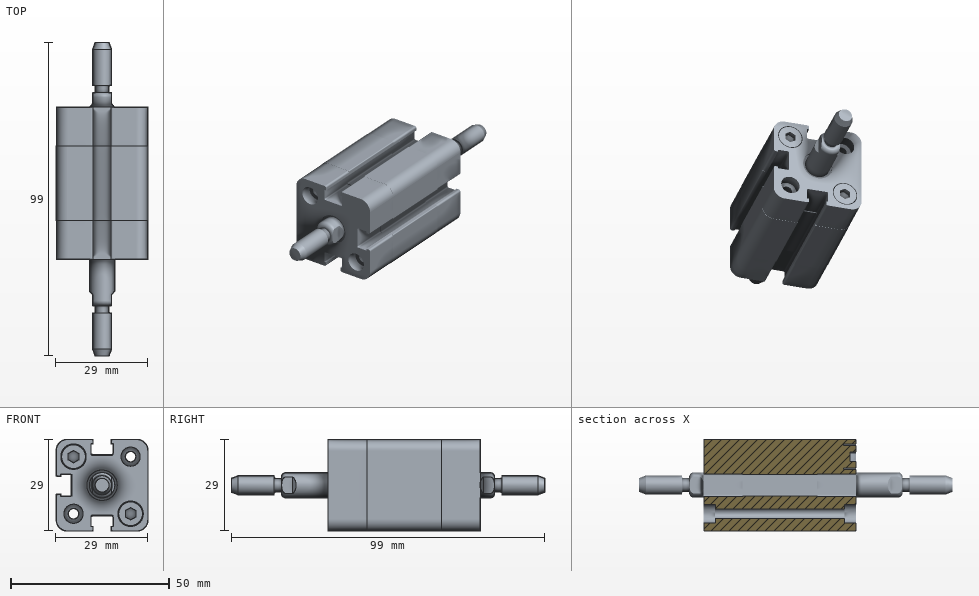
import cadquery as cq
import math

cap_side = 28.9
tube_side = 29.0
corner_radius = 3.6
overall_length = 99.0
rod_reach_front = 30.5
rod_reach_back = 20.4
cap_length = 12.3
front_y = -overall_length / 2 + rod_reach_front
back_y = overall_length / 2 - rod_reach_back

mouth_width = 5.6
slot_width = 6.9
lip_thickness = 1.5
cap_slot_depth = 5.0
tube_slot_depth = 4.8
cap_lip_radius = 0.6
tube_lip_radius = 0.3
slot_floor_radius = 0.4
slot_angles = (0, 90, 180)

corner_offset = 9.0
through_diameter = 3.3
counterbore_diameter = 6.0
counterbore_depth = 3.7
screw_pocket_diameter = 8.0
screw_head_diameter = 7.5
screw_gap_depth = 4.0
hex_across_flats = 3.4
hex_depth = 2.0

rod_diameter = 8.0
rod_recess_diameter = 9.6
rod_recess_depth = 0.5
rod_rounding_length = 1.5
rod_end_diameter = 5.4
flats_width = 6.0
flats_length = 3.6
flats_runout = 1.1
stud_diameter = 6.0
stud_tip_diameter = 4.4
stud_tip_length = 2.2
neck_diameter = 4.4
neck_radius = 0.4
neck_start = 13.6
rod_end = 15.8


def cylinder_y(diameter, start_y, end_y, x=0, z=0):
    """Cylinder parallel to Y between two Y positions."""
    plane = cq.Plane(origin=(x, start_y, z), xDir=(1, 0, 0), normal=(0, 1, 0))
    return cq.Workplane(plane).circle(diameter / 2).extrude(end_y - start_y)


def slot_cutter(start_y, end_y, section_side, depth, lip_radius):
    """T-slot for the top face, with rounded lips and floor corners."""
    top = section_side / 2
    lip_z = tube_side / 2 - lip_thickness
    floor_z = tube_side / 2 - depth
    mouth = mouth_width / 2
    half = slot_width / 2
    floor_half = half - slot_floor_radius
    lip_half = mouth + lip_radius
    diagonal = 1 - math.sqrt(0.5)
    lip_mid = (mouth + lip_radius * diagonal, top - lip_radius * diagonal)
    floor_mid = (half - slot_floor_radius * diagonal, floor_z + slot_floor_radius * diagonal)
    plane = cq.Plane(origin=(0, end_y, 0), xDir=(1, 0, 0), normal=(0, -1, 0))
    return (
        cq.Workplane(plane)
        .moveTo(-lip_half, top)
        .lineTo(lip_half, top)
        .threePointArc(lip_mid, (mouth, top - lip_radius))
        .lineTo(mouth, lip_z)
        .lineTo(half, lip_z)
        .lineTo(half, floor_z + slot_floor_radius)
        .threePointArc(floor_mid, (floor_half, floor_z))
        .lineTo(-floor_half, floor_z)
        .threePointArc((-floor_mid[0], floor_mid[1]), (-half, floor_z + slot_floor_radius))
        .lineTo(-half, lip_z)
        .lineTo(-mouth, lip_z)
        .lineTo(-mouth, top - lip_radius)
        .threePointArc((-lip_mid[0], lip_mid[1]), (-lip_half, top))
        .close()
        .extrude(end_y - start_y)
    )


def body_section(start_y, end_y, section_side, slot_depth, lip_radius):
    """One length of the body with its three T-slots."""
    section = (
        cq.Workplane("XY")
        .box(section_side, end_y - start_y, section_side)
        .edges("|Y")
        .fillet(corner_radius)
        .translate((0, (start_y + end_y) / 2, 0))
    )
    cutter = slot_cutter(start_y, end_y, section_side, slot_depth, lip_radius)
    for angle in slot_angles:
        section = section.cut(cutter.rotate((0, 0, 0), (0, 1, 0), -angle))
    return section


def through_hole(x, z):
    """Through hole counterbored from both cap faces."""
    return (
        cylinder_y(through_diameter, front_y, back_y, x, z)
        .union(cylinder_y(counterbore_diameter, front_y, front_y + counterbore_depth, x, z))
        .union(cylinder_y(counterbore_diameter, back_y - counterbore_depth, back_y, x, z))
    )


def screw_cutter(x, z):
    """Gap around a flush screw head plus its hexagon socket, corners up and down."""
    gap_end = front_y + screw_gap_depth
    gap = cylinder_y(screw_pocket_diameter, front_y, gap_end, x, z).cut(
        cylinder_y(screw_head_diameter, front_y, gap_end, x, z)
    )
    hex_corner_diameter = 2 * hex_across_flats / math.sqrt(3)
    plane = cq.Plane(origin=(x, front_y, z), xDir=(0, 0, 1), normal=(0, 1, 0))
    socket = cq.Workplane(plane).polygon(6, hex_corner_diameter).extrude(hex_depth)
    return gap.union(socket)


def rod_half():
    """Rod from the middle of the part to its +Y tip, turned about Y."""
    tip = overall_length / 2
    rod_r = rod_diameter / 2
    stud_r = stud_diameter / 2
    neck_r = neck_diameter / 2
    neck_y = tip - neck_start
    shoulder_y = tip - rod_end
    return (
        cq.Workplane("XY")
        .moveTo(0, 0)
        .lineTo(rod_r, 0)
        .lineTo(rod_r, shoulder_y - rod_rounding_length)
        .tangentArcPoint((rod_end_diameter / 2, shoulder_y), relative=False)
        .lineTo(neck_r, shoulder_y)
        .lineTo(neck_r, neck_y - neck_radius)
        .tangentArcPoint((neck_r + neck_radius, neck_y), relative=False)
        .lineTo(stud_r, neck_y)
        .lineTo(stud_r, tip - stud_tip_length)
        .lineTo(stud_tip_diameter / 2, tip)
        .lineTo(0, tip)
        .close()
        .revolve(360, (0, 0, 0), (0, 1, 0))
    )


def wrench_flat():
    """Cutter for the flat on the +X side of the +Y rod end, with a sloping run-out."""
    shoulder_y = overall_length / 2 - rod_end
    flat_end_y = shoulder_y - flats_length
    return (
        cq.Workplane("XY")
        .moveTo(flats_width / 2, shoulder_y)
        .lineTo(flats_width / 2, flat_end_y)
        .lineTo(rod_diameter / 2, flat_end_y - flats_runout)
        .lineTo(rod_diameter / 2, shoulder_y)
        .close()
        .extrude(rod_diameter / 2, both=True)
    )


front_cap_end = front_y + cap_length
back_cap_start = back_y - cap_length
body = (
    body_section(front_y, front_cap_end, cap_side, cap_slot_depth, cap_lip_radius)
    .union(body_section(front_cap_end, back_cap_start, tube_side, tube_slot_depth, tube_lip_radius))
    .union(body_section(back_cap_start, back_y, cap_side, cap_slot_depth, cap_lip_radius))
)

for sign in (1, -1):
    hole_at = sign * corner_offset
    body = body.cut(through_hole(hole_at, hole_at))
    body = body.cut(screw_cutter(-hole_at, hole_at))

body = body.cut(cylinder_y(rod_recess_diameter, front_y, front_y + rod_recess_depth))
body = body.cut(cylinder_y(rod_recess_diameter, back_y - rod_recess_depth, back_y))

flat = wrench_flat()
back_rod = rod_half().cut(flat).cut(flat.mirror("YZ"))
piston_rod = back_rod.union(back_rod.mirror("XZ"))

result = body.union(piston_rod)